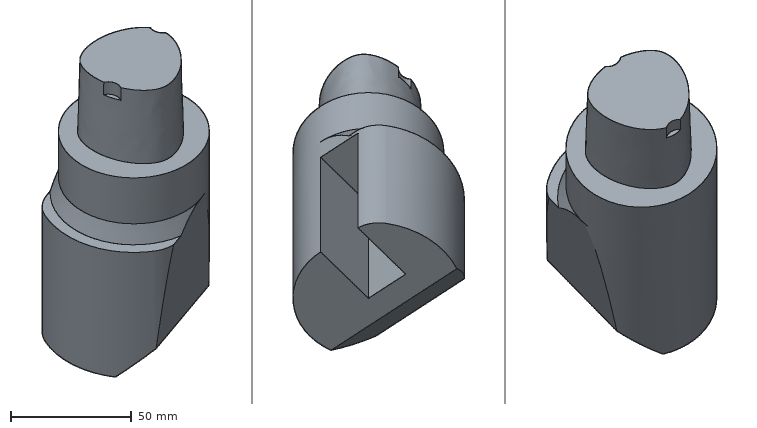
import cadquery as cq
import math

total_height = 138.0
collar_top = 99.8
collar_bottom = 75.3
body_top = 66.9

collar_radius = 31.5
nose_radius = 40.0
nose_corner_radius = 15.7
cone_radius = 34.9

slot_height = 64.7
slot_width = 20.0
slot_floor_x = 0.0

relief_angle = 5.0
chamfer_top = 14.9

shank_base_width = 44.2
shank_taper = 1 / 20
shank_lobe = 1.4
shank_points = 48

notch_radius = 5.5
notch_depth = 2.0
notch_height = 6.6


def collar():
    return (
        cq.Workplane("XY").workplane(offset=collar_bottom)
        .circle(collar_radius).extrude(collar_top - collar_bottom)
    )


def body():
    """Round at the back, flat sides, and a larger concentric nose at the front."""
    corner_x = collar_radius - nose_corner_radius
    corner_y = -math.sqrt((nose_radius - nose_corner_radius) ** 2 - corner_x**2)
    nose_angle = math.atan2(corner_y, corner_x)
    blend_x = nose_radius * math.cos(nose_angle)
    blend_y = nose_radius * math.sin(nose_angle)
    corner_mid_x = corner_x + nose_corner_radius * math.cos(nose_angle / 2)
    corner_mid_y = corner_y + nose_corner_radius * math.sin(nose_angle / 2)
    return (
        cq.Workplane("XY")
        .moveTo(-collar_radius, 0)
        .threePointArc((0, collar_radius), (collar_radius, 0))
        .lineTo(collar_radius, corner_y)
        .threePointArc((corner_mid_x, corner_mid_y), (blend_x, blend_y))
        .threePointArc((0, -nose_radius), (-blend_x, blend_y))
        .threePointArc((-corner_mid_x, corner_mid_y), (-collar_radius, corner_y))
        .close()
        .extrude(collar_bottom)
    )


def neck_relief():
    """Front material removed around the cone that joins the body to the collar."""
    height = collar_bottom - body_top
    cone = cq.Workplane("XY").add(
        cq.Solid.makeCone(cone_radius, collar_radius, height, cq.Vector(0, 0, body_top))
    )
    front_block = cq.Workplane("XY").box(
        2 * nose_radius, nose_radius, height, centered=False
    ).translate((-nose_radius, -nose_radius, body_top))
    return front_block.cut(cone)


def slot():
    return cq.Workplane("XY").box(
        slot_floor_x + collar_radius, slot_width, slot_height, centered=False
    ).translate((-collar_radius, -slot_width, 0))


def side_relief():
    knee_x = collar_radius - (collar_bottom - chamfer_top) * math.tan(math.radians(relief_angle))
    return (
        cq.Workplane("XZ")
        .moveTo(collar_radius, collar_bottom)
        .lineTo(knee_x, chamfer_top)
        .lineTo(knee_x - chamfer_top, 0)
        .lineTo(collar_radius, 0)
        .close()
        .extrude(nose_radius, both=True)
    )


def lobed_outline(width, height):
    """Closed curve of constant width with one lobe pointing to +Y."""
    def point(t):
        angle = 2 * math.pi * t
        along = (
            width / 2 * math.cos(angle)
            + 2 * shank_lobe * math.cos(2 * angle)
            - shank_lobe * math.cos(4 * angle)
        )
        across = (
            width / 2 * math.sin(angle)
            - 2 * shank_lobe * math.sin(2 * angle)
            - shank_lobe * math.sin(4 * angle)
        )
        return cq.Vector(-across, along, height)

    points = [point(i / shank_points) for i in range(shank_points)]
    return cq.Wire.assembleEdges([cq.Edge.makeSpline(points, periodic=True)])


shank_top_width = shank_base_width - shank_taper * (total_height - collar_top)


def shank():
    base = lobed_outline(shank_base_width, collar_top)
    top = lobed_outline(shank_top_width, total_height)
    return cq.Workplane("XY").add(cq.Solid.makeLoft([base, top], True))


def shank_notches():
    front_y = shank_lobe - shank_top_width / 2
    back_y = shank_lobe + shank_top_width / 2
    reach = notch_radius - notch_depth
    return (
        cq.Workplane("XY").workplane(offset=total_height - notch_height)
        .pushPoints([(0, front_y - reach), (0, back_y + reach)])
        .circle(notch_radius).extrude(notch_height)
    )


holder = body().cut(neck_relief()).union(collar())
holder = holder.cut(slot()).cut(side_relief())
result = holder.union(shank()).cut(shank_notches())